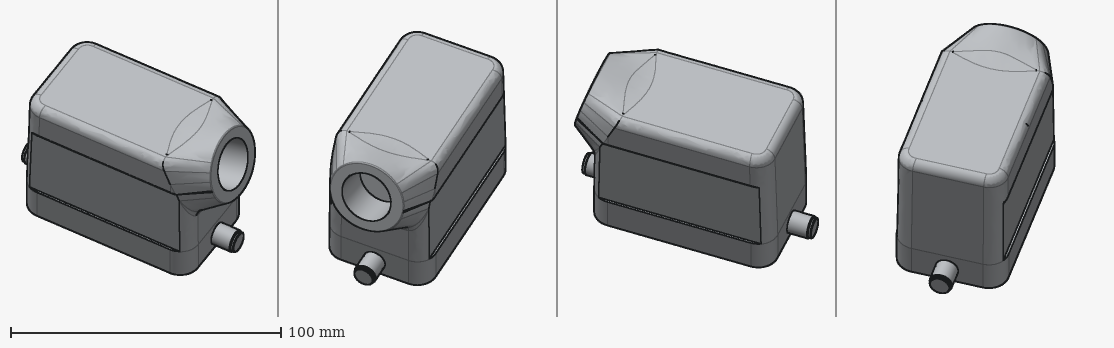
import cadquery as cq
import math


base_length = 72.4
base_width = 43.0
base_height = 13.0
base_corner_radius = 7.65
bottom_edge_fillet = 0.5
half_length = base_length / 2
half_width = base_width / 2

top_height = 56.9
top_left_x = -34.9
top_right_x = 35.6
top_width = 41.8
top_corner_radius = 7.2
top_edge_fillet = 3.6

panel_top = 42.5
panel_ledge_rise = 0.9
panel_bottom_half_width = 20.55
panel_top_half_width = 20.3

pin_diameter = 8.8
pin_height = 6.3
pin_shoulder_x = 44.4
pin_shoulder_chamfer = 0.4
pin_tip_diameter = 8.0
pin_tip_x = 45.5
pin_tip_chamfer = 0.3

snout_angle = 15.0
snout_half_height = 14.4
snout_half_width = 15.1
mouth_top_z = 60.9
mouth_right_x = 46.7
mouth_rim_fillet = 0.5
mouth_split_angles = [-56, -17.5, -5, -2, 14, 28.6, 43.6]
root_top_x = 24.2
root_bottom_z = 30.4
snout_top_blend = 31.3
snout_bottom_blend = 3.7
bore_diameter = 20.0
bore_depth = 15.7

blend_half_width = 16.1
blend_left_x = 9.2
blend_right_x = 35.0
blend_bottom_z = 46.1
blend_side_angle = 20.0

tilt = math.radians(snout_angle)
snout_axis = cq.Vector(math.cos(tilt), 0, math.sin(tilt))
mouth_center = cq.Vector(
    mouth_right_x - snout_half_height * math.sin(tilt),
    0,
    mouth_top_z - snout_half_height * math.cos(tilt),
)
mouth_plane = cq.Plane(origin=mouth_center, xDir=(0, 1, 0), normal=snout_axis)

root_normal = cq.Vector(top_height - root_bottom_z, 0, half_length - root_top_x)
root_plane = cq.Plane(origin=(root_top_x, 0, top_height), xDir=(0, 1, 0), normal=root_normal)


def rounded_outline(length, width, corner_radius, center_x, center_z):
    outline = cq.Sketch().rect(length, width).vertices().fillet(corner_radius)
    return outline.moved(cq.Location(cq.Vector(center_x, 0, center_z)))


def make_body():
    base_outline = rounded_outline(base_length, base_width, base_corner_radius, 0, 0)
    base = cq.Workplane().placeSketch(base_outline).extrude(base_height)
    base = base.faces("<Z").edges().fillet(bottom_edge_fillet)

    top_length = top_right_x - top_left_x
    top_center_x = (top_left_x + top_right_x) / 2
    rise = top_height - base_height
    top_outline = rounded_outline(top_length, top_width, top_corner_radius, top_center_x, rise)
    upper = cq.Workplane().workplane(offset=base_height).placeSketch(base_outline, top_outline).loft()
    upper = upper.faces(">Z").edges().fillet(top_edge_fillet)
    return base.union(upper)


def make_panel_cut():
    profile = [
        (panel_bottom_half_width, base_height),
        (half_width, base_height),
        (half_width, panel_top + panel_ledge_rise),
        (panel_top_half_width, panel_top),
    ]
    return cq.Workplane("YZ").polyline(profile).close().extrude(base_length, both=True)


def trim_at_root(body):
    reach = 2 * base_length
    behind = cq.Workplane(root_plane).rect(2 * reach, 2 * reach).extrude(-reach)
    return body.intersect(behind)


def mouth_point(angle):
    turn = math.radians(angle)
    return (snout_half_width * math.cos(turn), snout_half_height * math.sin(turn))


def make_mouth_wire():
    left_angles = [180 - angle for angle in reversed(mouth_split_angles)]
    angles = mouth_split_angles + left_angles
    next_angles = angles[1:] + [angles[0] + 360]
    mouth = cq.Workplane(mouth_plane).moveTo(*mouth_point(angles[0]))
    for start, end in zip(angles, next_angles):
        mouth = mouth.threePointArc(mouth_point((start + end) / 2), mouth_point(end))
    return mouth.close().wires().val()


def make_snout(trimmed_body):
    root_selector = cq.selectors.DirectionMinMaxSelector(root_plane.zDir)
    root_wire = trimmed_body.faces(root_selector).val().outerWire()
    return cq.Workplane(cq.Solid.makeLoft([root_wire, make_mouth_wire()], True))


def fillet_edge_near(solid, point, radius):
    return solid.edges(cq.selectors.NearestToPointSelector(point)).fillet(radius)


def make_top_blend(hood):
    run = blend_right_x - root_top_x
    narrow_half_width = blend_half_width - run * math.tan(math.radians(blend_side_angle))
    right_side = [
        (blend_left_x, -blend_half_width),
        (root_top_x, -blend_half_width),
        (blend_right_x, -narrow_half_width),
    ]
    left_side = [(x, -y) for x, y in reversed(right_side)]
    wedge = (
        cq.Workplane()
        .workplane(offset=blend_bottom_z)
        .polyline(right_side + left_side)
        .close()
        .extrude(top_height - blend_bottom_z + snout_half_height)
    )
    return fillet_edge_near(hood.intersect(wedge), (root_top_x, 0, top_height), snout_top_blend)


def make_pin():
    section = cq.Workplane("YZ").workplane(offset=half_length / 2).center(0, pin_height)
    shank = section.circle(pin_diameter / 2).extrude(pin_shoulder_x - half_length / 2)
    tip = section.circle(pin_tip_diameter / 2).extrude(pin_tip_x - half_length / 2)
    shank = shank.faces(">X").chamfer(pin_shoulder_chamfer)
    return shank.union(tip.faces(">X").chamfer(pin_tip_chamfer))


panel_cut = make_panel_cut()
body = trim_at_root(make_body().cut(panel_cut).cut(panel_cut.mirror("XZ")))

hood = body.union(make_snout(body))
top_blend = make_top_blend(hood)
hood = fillet_edge_near(hood, (half_length, 0, root_bottom_z), snout_bottom_blend)
mouth_face = hood.faces(cq.selectors.DirectionMinMaxSelector(snout_axis))
hood = mouth_face.edges().fillet(mouth_rim_fillet)
hood = hood.union(top_blend)
hood = hood.cut(cq.Workplane(mouth_plane).circle(bore_diameter / 2).extrude(-bore_depth))

pin = make_pin()
result = hood.union(pin).union(pin.mirror("YZ"))